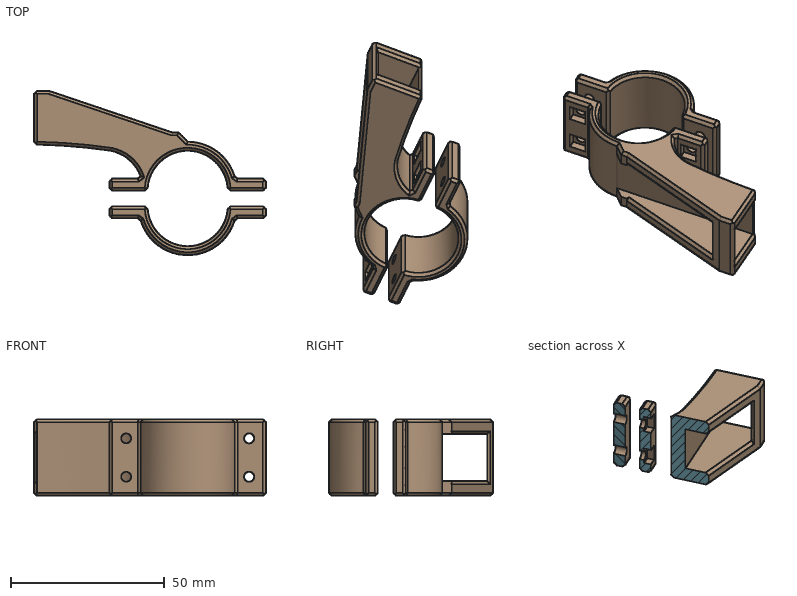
import cadquery as cq
import math

height = 25.0
chamfer = 1.0
gap_between_halves = 5.0

bore_radius = 13.0
ring_radius = 16.0
flange_reach = 25.5
flange_thickness = 4.0

hole_diameter = 3.2
hole_x = 20.0
hole_spacing = height / 2

nut_width = 5.5
nut_seat_thickness = 1.6

arm_end_x = -50.0
arm_end_width = 17.5
arm_bottom_y = 15.0
arm_top_y = arm_bottom_y + arm_end_width
slope_start_x = -45.0
shoulder_rise = 3.0
shoulder_y = ring_radius + shoulder_rise
shoulder_start_x = -5.0
underside_kink = (-25.0, 13.0)
underside_middle = (-37.5, 14.4)
throat_middle = (-18.6, 9.7)

window_height = 15.25
window_wall = 2.0
window_bottom_y = ring_radius
window_top_y = arm_top_y - window_wall

nest_x = math.sqrt((ring_radius + chamfer) ** 2 - (flange_thickness + chamfer) ** 2)
nest_y = flange_thickness + chamfer
corner_on_flange = (nest_x, flange_thickness)
corner_scale = ring_radius / (ring_radius + chamfer)
corner_on_ring = (nest_x * corner_scale, nest_y * corner_scale)


def mirrored(point):
    """Point mirrored across the YZ plane."""
    return (-point[0], point[1])


def bore_side_outline():
    """Open outline from the left flange tip along the bore to the right flank of the ring."""
    return (
        cq.Workplane("XY")
        .moveTo(-flange_reach, 0)
        .lineTo(-bore_radius, 0)
        .threePointArc((0, bore_radius), (bore_radius, 0))
        .lineTo(flange_reach, 0)
        .lineTo(flange_reach, flange_thickness)
        .lineTo(*corner_on_flange)
        .lineTo(*corner_on_ring)
    )


def close_left_flange(outline):
    """Run the outline from the left ring corner around the left flange and close it."""
    return (
        outline
        .lineTo(*mirrored(corner_on_flange))
        .lineTo(-flange_reach, flange_thickness)
        .close()
    )


def chamfered_plate(outline, corners):
    """Extrude the outline, chamfer both end faces, then bevel the listed upright corners."""
    plate = outline.extrude(height).faces("<Z or >Z").edges().chamfer(chamfer)
    bevels = (
        cq.Workplane("XY")
        .pushPoints(corners)
        .polygon(4, 2 * chamfer)
        .extrude(height)
    )
    return plate.cut(bevels)


def screw_positions(y):
    """Workplane at the given Y carrying the four screw positions."""
    return (
        cq.Workplane("XZ", origin=(0, y, height / 2))
        .rarray(2 * hole_x, hole_spacing, 2, 2)
    )


def screw_holes():
    """Four cylinders along Y through both flanges."""
    return screw_positions(0).circle(hole_diameter / 2).extrude(-flange_thickness)


def nut_pockets():
    """Four square pockets that open on the arm side of the flanges."""
    pocket_depth = flange_thickness - nut_seat_thickness
    return screw_positions(nut_seat_thickness).rect(nut_width, nut_width).extrude(-pocket_depth)


half_corners = [
    (side * x, y)
    for side in (-1, 1)
    for x, y in ((bore_radius, 0), (flange_reach, 0), (flange_reach, flange_thickness))
]


def make_cap():
    """Plain half ring with two flanges, facing the bracket across the gap."""
    outline = close_left_flange(
        bore_side_outline().threePointArc((0, ring_radius), mirrored(corner_on_ring)))
    cap = chamfered_plate(outline, half_corners).cut(screw_holes())
    return cap.mirror("XZ").translate((0, -gap_between_halves, 0))


def window_bore():
    """Straight rectangular bore from the arm end to the crest of the ring."""
    return (
        cq.Workplane("YZ", origin=(arm_end_x, 0, height / 2))
        .center((window_bottom_y + window_top_y) / 2, 0)
        .rect(window_top_y - window_bottom_y, window_height)
        .extrude(-arm_end_x)
    )


def flare(plane, near_low, near_high, far_low, far_high):
    """Flare from the plane, with the bore's height there, to one chamfer deeper along its normal.

    The low and high values bound the flare along the plane's local x axis.
    """
    return (
        cq.Workplane(plane)
        .center((near_low + near_high) / 2, 0)
        .rect(near_high - near_low, window_height)
        .workplane(offset=chamfer)
        .center((far_low + far_high - near_low - near_high) / 2, 0)
        .rect(far_high - far_low, window_height + 2 * chamfer)
        .loft(ruled=True)
    )


def window_mouth():
    """Chamfer around the window at the arm end.

    The lower wall is only as thick as the bevel on its outer corner, so its
    chamfer there bisects the angle between the window floor and that bevel.
    """
    plane = cq.Plane(origin=(arm_end_x + chamfer, 0, height / 2), xDir=(0, 1, 0), normal=(-1, 0, 0))
    bevel_angle = math.radians(45)
    lower_drop = chamfer / math.tan(bevel_angle / 2)
    return flare(
        plane, window_bottom_y, window_top_y, window_bottom_y - lower_drop, window_top_y + chamfer)


def window_exit():
    """Chamfer around the window where it breaks out through the sloped back.

    Local x runs down the slope. The chamfer meets the window's upper wall where
    that wall is one chamfer deep, and reaches equally far up the slope.
    """
    run = shoulder_start_x - slope_start_x
    fall = arm_top_y - shoulder_y
    slope_length = math.hypot(run, fall)
    slope_cos = run / slope_length
    slope_sin = fall / slope_length
    plane = cq.Plane(
        origin=(slope_start_x - chamfer * slope_sin, arm_top_y - chamfer * slope_cos, height / 2),
        xDir=(slope_cos, -slope_sin, 0),
        normal=(slope_sin, slope_cos, 0),
    )
    breakout = window_wall / slope_sin
    reach = chamfer / slope_sin
    wall_contact = (window_wall - chamfer * slope_cos) / slope_sin
    return flare(plane, wall_contact, slope_length, breakout - reach, slope_length)


def make_bracket():
    """Half ring with two flanges and the windowed arm."""
    diagonal = math.sqrt(0.5) * ring_radius
    outline = close_left_flange(
        bore_side_outline()
        .threePointArc((diagonal, diagonal), (0, ring_radius))
        .lineTo(-shoulder_rise, shoulder_y)
        .lineTo(shoulder_start_x, shoulder_y)
        .lineTo(slope_start_x, arm_top_y)
        .lineTo(arm_end_x, arm_top_y)
        .lineTo(arm_end_x, arm_bottom_y)
        .threePointArc(underside_middle, underside_kink)
        .threePointArc(throat_middle, mirrored(corner_on_ring))
    )
    corners = half_corners + [(arm_end_x, arm_bottom_y), (arm_end_x, arm_top_y)]
    plate = chamfered_plate(outline, corners)
    for cutter in (screw_holes(), nut_pockets(), window_bore(), window_mouth(), window_exit()):
        plate = plate.cut(cutter)
    return plate


bracket = make_bracket()
cap = make_cap()
result = cq.Compound.makeCompound([bracket.val(), cap.val()])